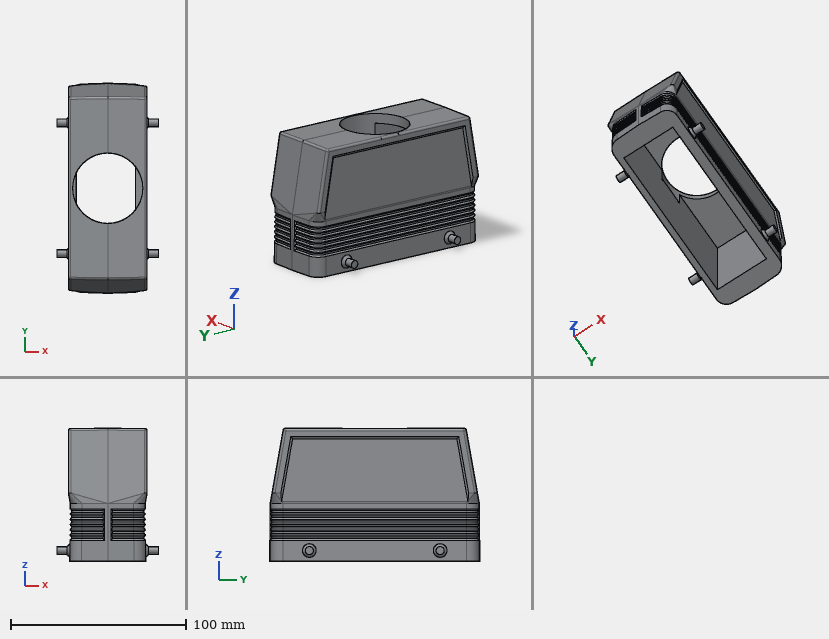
import cadquery as cq
import math

base_half_width = 21.7
base_half_length = 60.0
base_corner_radius = 7.0
base_end_angle = 2.0
wall_draft = 0.5
skirt_height = 12.0
neck_top = 33.0

groove_count = 6
groove_pitch = 3.0
groove_depth = 0.85
groove_flank_height = 1.0
end_rib_width = 3.2
groove_top = skirt_height + groove_count * groove_pitch

total_height = 76.0
body_half_width = 22.5
body_end_angle = 0.7
body_end_taper = 10.0
body_edge_radius = 1.5
top_rim_radius = 1.4
roof_angle = 0.5
shoulder_top = 39.0

panel_top = 71.2
panel_half_length_top = 47.9
panel_depth = 0.9
panel_bevel = 1.3

pin_radius = 2.3
pin_tip = 29.0
pin_height = 6.15
pin_spacing = 74.6
collar_radius = 3.9
collar_tip = 23.3
pin_root = 20.0

cavity_x_min = -17.9
cavity_x_max = 15.7
cavity_half_length = 48.0
cavity_roof = 70.0
cable_hole_radius = 20.0
cable_hole_depth = 20.0


def tan_deg(angle):
    return math.tan(math.radians(angle))


def outline(z, half_width, half_length, end_angle, radius):
    """Rounded rectangle whose ends are shallow Vs with the crease at x = 0."""
    lean = math.radians(end_angle)
    centre_x = half_width - radius
    centre_y = half_length - radius / math.cos(lean) - centre_x * math.tan(lean)

    def on_corner(angle):
        return centre_x + radius * math.cos(angle), centre_y + radius * math.sin(angle)

    arc_sweep = math.pi / 2 - lean
    ax, ay = on_corner(0)
    mx, my = on_corner(arc_sweep / 2)
    bx, by = on_corner(arc_sweep)
    return (
        cq.Workplane("XY", origin=(0, 0, z))
        .moveTo(ax, -ay)
        .lineTo(ax, ay)
        .threePointArc((mx, my), (bx, by))
        .lineTo(0, half_length)
        .lineTo(-bx, by)
        .threePointArc((-mx, my), (-ax, ay))
        .lineTo(-ax, -ay)
        .threePointArc((-mx, -my), (-bx, -by))
        .lineTo(0, -half_length)
        .lineTo(bx, -by)
        .threePointArc((mx, -my), (ax, -ay))
        .close()
        .wires()
        .val()
    )


def base_outline(z, inset=0.0):
    """Section of the drafted block at height z, optionally moved inward."""
    shrink = inset + z * tan_deg(wall_draft)
    return outline(
        z,
        base_half_width - shrink,
        base_half_length - shrink,
        base_end_angle,
        base_corner_radius - inset,
    )


def loft(*sections):
    """Solid with straight walls from each section to the next."""
    return cq.Workplane(cq.Solid.makeLoft(list(sections), True))


def make_grooved_block():
    """Plain skirt, grooves all the way round, and the plain collar under the shoulder."""
    sections = [base_outline(0), base_outline(skirt_height)]
    for index in range(groove_count):
        bottom = skirt_height + index * groove_pitch
        top = bottom + groove_pitch
        sections.append(base_outline(bottom + groove_flank_height, groove_depth))
        sections.append(base_outline(top - groove_flank_height, groove_depth))
        sections.append(base_outline(top))
    sections.append(base_outline(neck_top))
    return loft(*sections)


def make_end_rib():
    """Upright at the +Y end, widening towards its root, as deep as the grooves."""
    root_y = cavity_half_length
    root_half_width = end_rib_width / 2 + base_half_length - root_y
    return (
        cq.Workplane("XY", origin=(0, 0, skirt_height))
        .polyline([
            (-root_half_width, root_y),
            (root_half_width, root_y),
            (end_rib_width / 2, base_half_length),
            (-end_rib_width / 2, base_half_length),
        ])
        .close()
        .extrude(groove_top - skirt_height)
        .intersect(loft(base_outline(0), base_outline(neck_top)))
    )


def body_half_length(z):
    neck_half_length = base_half_length - neck_top * tan_deg(wall_draft)
    return neck_half_length - (z - neck_top) * tan_deg(body_end_taper)


def make_body():
    """Tapered upper block, rounded on top and necked down below the shoulder."""
    def body_outline(z):
        return outline(z, body_half_width, body_half_length(z), body_end_angle, body_edge_radius)

    block = loft(body_outline(neck_top), body_outline(total_height))
    eave_height = total_height - body_half_width * tan_deg(roof_angle)
    half_envelope = (
        cq.Workplane("XZ")
        .polyline([
            (0, 0),
            (body_half_width, 0),
            (body_half_width, eave_height),
            (0, total_height),
        ])
        .close()
        .extrude(base_half_length, both=True)
    )
    half = block.intersect(half_envelope)
    half = half.faces(">Z").edges("not(<X)").fillet(top_rim_radius)
    block = half.union(half.mirror("YZ"))

    corner_x = body_half_width - body_edge_radius
    extra_length = corner_x * (tan_deg(base_end_angle) - tan_deg(body_end_angle))
    shoulder_outline = outline(
        shoulder_top,
        body_half_width,
        body_half_length(shoulder_top) + extra_length,
        base_end_angle,
        body_edge_radius,
    )
    shoulder = loft(base_outline(neck_top), shoulder_outline)
    above_shoulder = (
        cq.Workplane("XY", origin=(0, 0, shoulder_top))
        .rect(2 * body_half_width, 2 * base_half_length)
        .extrude(total_height - shoulder_top)
    )
    return block.intersect(above_shoulder).union(block.intersect(shoulder))


def panel_cutter():
    """Bevelled recess on the -X side, following the taper of the body ends."""
    def panel_outline(x, inset):
        top = panel_top - inset
        half_top = panel_half_length_top - inset + inset * tan_deg(body_end_taper)
        half_bottom = half_top + (top - neck_top) * tan_deg(body_end_taper)
        return cq.Wire.makePolygon(
            [
                cq.Vector(x, -half_bottom, neck_top),
                cq.Vector(x, half_bottom, neck_top),
                cq.Vector(x, half_top, top),
                cq.Vector(x, -half_top, top),
            ],
            close=True,
        )

    return loft(
        panel_outline(-body_half_width, 0),
        panel_outline(-body_half_width + panel_depth, panel_bevel),
    )


def make_pin(y):
    """Locking pin with a conical collar on the -X side."""
    wall_x = base_half_width - pin_height * tan_deg(wall_draft)
    return (
        cq.Workplane("XY", origin=(0, y, pin_height))
        .moveTo(-pin_root, 0)
        .lineTo(-pin_root, -collar_radius)
        .lineTo(-wall_x, -collar_radius)
        .lineTo(-collar_tip, -pin_radius)
        .lineTo(-pin_tip, -pin_radius)
        .lineTo(-pin_tip, 0)
        .close()
        .revolve(360, (0, 0, 0), (1, 0, 0))
    )


def cut_interior(hood):
    cavity = (
        cq.Workplane("XY")
        .center((cavity_x_min + cavity_x_max) / 2, 0)
        .rect(cavity_x_max - cavity_x_min, 2 * cavity_half_length)
        .extrude(cavity_roof)
    )
    cable_hole = (
        cq.Workplane("XY", origin=(0, 0, total_height - cable_hole_depth))
        .circle(cable_hole_radius)
        .extrude(cable_hole_depth)
    )
    return hood.cut(cavity.union(cable_hole))


def make_attachments():
    """The two end ribs and the four locking pins, joined to the hood in one step."""
    rib = make_end_rib()
    solids = [rib.val(), rib.mirror("XZ").val()]
    for pin_y in (-pin_spacing / 2, pin_spacing / 2):
        pin = make_pin(pin_y)
        solids += [pin.val(), pin.mirror("YZ").val()]
    return cq.Workplane("XY").newObject(solids)


panel = panel_cutter()
body = make_body().cut(panel).cut(panel.mirror("YZ"))
hood = make_grooved_block().union(body).union(make_attachments())
result = cut_interior(hood)